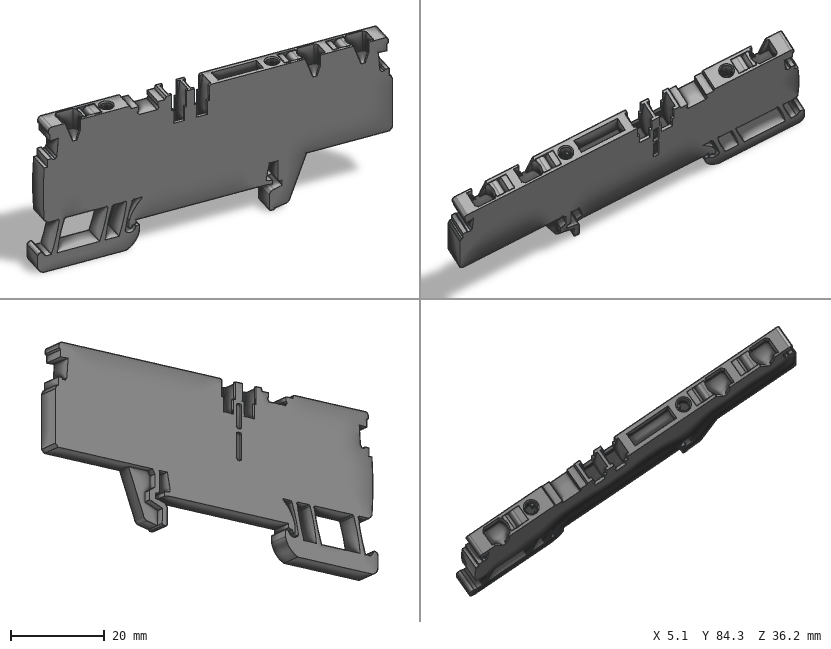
import cadquery as cq


THICKNESS = 5.1
LENGTH = 84.34
HEIGHT = 36.15

Y_MAX = LENGTH / 2
Y_MIN = -LENGTH / 2
X_MAX = THICKNESS / 2
X_MIN = -THICKNESS / 2
OVERCUT = 1.0

BODY_BOTTOM = 12.35
BODY_END = -40.6
CORNER_CHAMFER = 0.75
END_BULGE = 0.21
BULGE_MIDDLE = 17.3
SHOULDER_TOP = 26.3

END_NOTCHES = ((Y_MAX, -1, 23.0), (BODY_END, 1, SHOULDER_TOP))
END_ROUND = 1.8

FOOT_TOP = 4.03
FOOT_LIP = 5.24
RIB_WAIST = 0.2
RIB_FLARE = 0.3

SPRING_RIBS = (
    (-19.65, -21.0, -21.5, -22.8),
    (-24.4, -25.45, -26.05, -27.45),
    (-35.8, -37.0, -37.5, -38.9),
)

LATCH_BOTTOM = 0.25
WEB_RECESS = 1.8

SHAFT_FLOOR = 28.85
SHAFT_STEP = 32.2
SHAFT_STEP_WIDTH = 0.48
SOCKET_WIDTH = 3.75
SOCKET_OVERHANG = 0.6
SOCKET_FLOOR_OVERHANG = 0.1
SOCKET_DEPTH = 3.0
SHAFTS = ((-1.36, -4.88), (-6.75, -10.3))
SHAFT_CORNERS = ((-1.36, 1, 0.65), (-10.3, -1, 0.5))
SHAFT_CORNER_DROP = 0.4

GROOVE_Y = -5.87
GROOVE_WIDTH = 1.33
GROOVE_CORNER = 0.53
GROOVE_DEPTH = 0.65
GROOVE_SPANS = ((25.8, 31.45), (18.7, 25.0))

WIRE_ENTRIES = (
    (37.9, -1, 7.5, 8.2),
    (26.42, -1, 7.5, 8.2),
    (-36.08, 1, 6.8, 8.0),
)
ENTRY_WIDTH = 4.1
ENTRY_LENGTH = 5.45
ENTRY_STRAIGHT = 4.55
ENTRY_DEPTH = 5.0
ENTRY_CORNER = 0.6
OPENING_UPRIGHT = 1.4
OPENING_FLOOR_START = 0.5
OPENING_FLOOR_END = -0.4
OPENING_SLOPE_TOP = -2.2

LEVER_WIDTH = 3.7
LEVER_START = 5.2
LEVER_SHOULDER = 6.0
LEVER_END = 9.5
LEVER_TOP = HEIGHT - 0.2
LEVER_VALLEY = HEIGHT - 1.2

TEST_HOLES = ((14.8, -1), (-24.57, 1))
TEST_DIAMETER = 2.75
TEST_RIM_DIAMETER = 3.35
TEST_DEPTH = 5.0
LEDGE_OFFSET = 0.5
LEDGE_DROP = 2.5
LEDGE_SLIT = 0.9

WINDOW_WIDTH = 3.2
WINDOW_START = 1.2
WINDOW_END = 11.9
WINDOW_DEPTH = 5.0


def prism(outline, x_from=X_MIN, x_to=X_MAX):
    """Extrude a closed YZ outline between two X positions."""
    return outline.close().extrude(x_to - x_from).translate((x_from, 0, 0))


def sketch(y, z):
    return cq.Workplane("YZ").moveTo(y, z)


def polygon(points, x_from=X_MIN, x_to=X_MAX):
    return prism(cq.Workplane("YZ").polyline(points), x_from, x_to)


def block(x_size, y_from, y_to, z_from, z_to):
    """Box centred on X = 0."""
    box = cq.Workplane("XY").box(x_size, abs(y_to - y_from), z_to - z_from)
    return box.translate((0, (y_from + y_to) / 2, (z_from + z_to) / 2))


def housing():
    outline = (
        sketch(Y_MAX - CORNER_CHAMFER, BODY_BOTTOM)
        .lineTo(Y_MAX, BODY_BOTTOM + CORNER_CHAMFER)
        .lineTo(Y_MAX, HEIGHT)
        .lineTo(BODY_END, HEIGHT)
        .lineTo(BODY_END, SHOULDER_TOP)
        .threePointArc(
            (BODY_END - END_BULGE, BULGE_MIDDLE),
            (BODY_END, BODY_BOTTOM + CORNER_CHAMFER),
        )
        .lineTo(BODY_END + CORNER_CHAMFER, BODY_BOTTOM)
    )
    return prism(outline)


def end_notch(y_end, inward, shoulder_start):
    """Stepped latching notch in an end face; inward is the Y direction into the body.

    The shoulder rises to its full height from shoulder_start, a level outside the face.
    """

    def at(depth, z):
        return (y_end + inward * depth, z)

    outline = (
        sketch(*at(-OVERCUT, shoulder_start))
        .lineTo(*at(0.4, SHOULDER_TOP))
        .lineTo(*at(0.78, SHOULDER_TOP))
        .lineTo(*at(0.78, 28.15))
        .lineTo(*at(1.75, 28.25))
        .lineTo(*at(2.0, 27.85))
        .lineTo(*at(2.6, 27.85))
        .lineTo(*at(3.0, 28.4))
        .lineTo(*at(3.35, 32.85))
        .lineTo(*at(1.33, 32.75))
        .lineTo(*at(1.33, 34.35))
        .lineTo(*at(0.98, 34.75))
        .lineTo(*at(0.98, 35.3))
        .threePointArc(at(1.22, 35.9), at(END_ROUND, HEIGHT))
        .lineTo(*at(END_ROUND, HEIGHT + OVERCUT))
        .lineTo(*at(-OVERCUT, HEIGHT + OVERCUT))
    )
    return prism(outline)


def rail_skirt():
    """Lower edge resting on the rail, with a lip at each end."""
    outline = (
        sketch(12.9, BODY_BOTTOM)
        .lineTo(12.2, 8.76)
        .lineTo(12.2, 8.1)
        .lineTo(13.6, 7.75)
        .lineTo(13.6, 6.85)
        .lineTo(12.3, 7.05)
        .lineTo(-18.77, 7.05)
        .lineTo(-18.77, 6.1)
        .lineTo(-19.7, 5.85)
        .lineTo(-20.1, 5.2)
        .lineTo(-20.4, 5.3)
        .lineTo(-20.4, 7.35)
        .threePointArc((-19.54, 9.4), (-17.4, 12.1))
        .lineTo(-17.4, BODY_BOTTOM)
    )
    return prism(outline)


def latch_foot():
    """Spring latch: a full width bent strip stiffened by a thinner web."""
    strip_back = [
        (16.8, BODY_BOTTOM),
        (16.15, 11.3),
        (16.15, 8.35),
        (17.5, 7.4),
        (17.5, 5.25),
        (14.15, 3.97),
        (14.25, 0.6),
    ]
    outline = (
        cq.Workplane("YZ")
        .polyline(strip_back)
        .lineTo(13.9, LATCH_BOTTOM)
        .lineTo(13.1, LATCH_BOTTOM)
        .lineTo(12.9, LATCH_BOTTOM + 0.3)
        .lineTo(12.9, 4.3)
        .threePointArc((13.2, 4.95), (14.0, 5.4))
        .lineTo(15.95, 5.9)
        .lineTo(15.95, 7.1)
        .lineTo(15.1, 7.25)
        .lineTo(14.94, 7.5)
        .lineTo(14.94, BODY_BOTTOM)
    )
    web = (
        cq.Workplane("YZ")
        .polyline(strip_back)
        .lineTo(16.9, 1.1)
        .threePointArc((17.5, 1.5), (17.9, 2.3))
        .lineTo(21.75, BODY_BOTTOM)
    )
    return prism(outline).union(prism(web, X_MIN + WEB_RECESS))


def foot_bar():
    outline = (
        sketch(-17.93, 5.5)
        .lineTo(-17.98, 4.0)
        .threePointArc((-19.1, 1.6), (-21.2, 0))
        .lineTo(-40.7, 0)
        .threePointArc((-41.7, 0.6), (Y_MIN, 1.9))
        .lineTo(Y_MIN, 4.6)
        .threePointArc((-41.8, 5.07), (-41.1, FOOT_LIP))
        .threePointArc((-40.75, 4.6), (-40.2, FOOT_TOP))
        .lineTo(-22, FOOT_TOP)
        .lineTo(-21.4, 5.1)
        .threePointArc((-20.2, 4.25), (-18.9, 5.2))
        .lineTo(-18.8, 5.5)
    )
    return prism(outline)


def spring_rib(top_left, top_right, bottom_left, bottom_right):
    """Slanted rib between body and foot bar, waisted by two shallow arcs and flared at the top."""
    flare_level = BODY_BOTTOM - RIB_FLARE
    middle = (BODY_BOTTOM + FOOT_TOP) / 2
    waist_left = (top_left + bottom_left) / 2 - RIB_WAIST
    waist_right = (top_right + bottom_right) / 2 + RIB_WAIST
    outline = (
        sketch(top_left + RIB_FLARE, BODY_BOTTOM)
        .lineTo(top_left, flare_level)
        .threePointArc((waist_left, middle), (bottom_left, FOOT_TOP))
        .lineTo(bottom_right, FOOT_TOP)
        .threePointArc((waist_right, middle), (top_right, flare_level))
        .lineTo(top_right - RIB_FLARE, BODY_BOTTOM)
    )
    return prism(outline)


def bridge_shaft(y_first, y_second):
    """Stepped slot through the full thickness; the first edge has the larger Y."""
    step_first = y_first - SHAFT_STEP_WIDTH
    step_second = y_second + SHAFT_STEP_WIDTH
    slot = polygon(
        [
            (y_first, HEIGHT + OVERCUT),
            (y_first, SHAFT_STEP),
            (step_first, SHAFT_STEP),
            (step_first, SHAFT_FLOOR),
            (step_second, SHAFT_FLOOR),
            (step_second, SHAFT_STEP),
            (y_second, SHAFT_STEP),
            (y_second, HEIGHT + OVERCUT),
        ]
    )
    floor_first = step_first + SOCKET_FLOOR_OVERHANG
    floor_second = step_second - SOCKET_FLOOR_OVERHANG
    socket = polygon(
        [
            (y_first + SOCKET_OVERHANG, HEIGHT),
            (floor_first, SHAFT_FLOOR),
            (floor_first, SHAFT_FLOOR - SOCKET_DEPTH),
            (floor_second, SHAFT_FLOOR - SOCKET_DEPTH),
            (floor_second, SHAFT_FLOOR),
            (y_second - SOCKET_OVERHANG, HEIGHT),
        ],
        -SOCKET_WIDTH / 2,
        SOCKET_WIDTH / 2,
    )
    return slot.union(socket)


def marker_recess():
    """Shallow step with a dovetail groove for a marker strip."""
    shelf = 35.4
    bottom = 33.4
    left, right = -11.95, -19.95
    groove_left, groove_right = -13.6, -18.15
    undercut = 0.28
    return polygon(
        [
            (left + 0.3, HEIGHT),
            (left, shelf),
            (groove_left, shelf),
            (groove_left, 34.4),
            (groove_left + undercut, 34.0),
            (groove_left - 0.14, bottom),
            (groove_right + 0.14, bottom),
            (groove_right - undercut, 34.0),
            (groove_right, 34.4),
            (groove_right, shelf),
            (right, shelf),
            (right - 0.05, 35.8),
            (right - 0.3, HEIGHT),
        ]
    )


def shaft_corner(y_edge, direction, run):
    """Rounded top edge beside a shaft."""
    outline = (
        sketch(y_edge, HEIGHT)
        .lineTo(y_edge + direction * run, HEIGHT)
        .threePointArc(
            (y_edge + direction * run * 0.3, HEIGHT - SHAFT_CORNER_DROP * 0.3),
            (y_edge, HEIGHT - SHAFT_CORNER_DROP),
        )
    )
    return prism(outline)


def side_groove(z_from, z_to):
    half = GROOVE_WIDTH / 2
    slot = block(2 * GROOVE_DEPTH, GROOVE_Y - half, GROOVE_Y + half, z_from, z_to)
    return slot.edges("|X").fillet(GROOVE_CORNER).translate((X_MIN, 0, 0))


def lever_slot(y_at, inward, valley, crest):
    """Shallow slot with a cross valley; the valley flank on its +Y side is rounded."""
    flank_top = LEVER_SHOULDER if inward < 0 else crest
    flank_middle = (
        y_at(flank_top + 0.75 * (valley - flank_top)),
        LEVER_TOP - 0.35 * (LEVER_TOP - LEVER_VALLEY),
    )
    outline = (
        sketch(y_at(LEVER_START), HEIGHT)
        .lineTo(y_at(LEVER_START), LEVER_TOP)
        .lineTo(y_at(LEVER_SHOULDER), LEVER_TOP)
    )
    if inward < 0:
        outline = outline.threePointArc(flank_middle, (y_at(valley), LEVER_VALLEY))
        outline = outline.lineTo(y_at(crest), LEVER_TOP)
    else:
        outline = outline.lineTo(y_at(valley), LEVER_VALLEY)
        outline = outline.threePointArc(flank_middle, (y_at(crest), LEVER_TOP))
    outline = outline.lineTo(y_at(LEVER_END), LEVER_TOP).lineTo(y_at(LEVER_END), HEIGHT)
    return prism(outline, -LEVER_WIDTH / 2, LEVER_WIDTH / 2)


def wire_entry(y_outer, inward, valley, crest):
    """Wire pocket open to the +X side, and the lever slot beside it."""

    def y_at(distance):
        return y_outer + inward * distance

    half = ENTRY_WIDTH / 2
    floor = HEIGHT - ENTRY_DEPTH
    pocket = (
        cq.Workplane("XY", origin=(0, 0, floor))
        .moveTo(half, y_at(0))
        .lineTo(ENTRY_CORNER - half, y_at(0))
        .lineTo(-half, y_at(ENTRY_CORNER))
        .lineTo(-half, y_at(ENTRY_STRAIGHT))
        .threePointArc((0, y_at(ENTRY_LENGTH)), (half, y_at(ENTRY_STRAIGHT)))
        .close()
        .extrude(ENTRY_DEPTH)
    )
    y_middle = y_at(ENTRY_LENGTH / 2)
    side_opening = polygon(
        [
            (y_middle + OPENING_UPRIGHT, HEIGHT),
            (y_middle + OPENING_UPRIGHT, HEIGHT - ENTRY_DEPTH / 2),
            (y_middle + OPENING_FLOOR_START, floor),
            (y_middle + OPENING_FLOOR_END, floor),
            (y_middle + OPENING_SLOPE_TOP, HEIGHT),
        ],
        0,
        X_MAX,
    )
    lever = lever_slot(y_at, inward, valley, crest)
    return pocket.union(side_opening).union(lever)


def test_hole(y_center, ledge_side):
    """Chamfered probe hole with a slit ledge across one side."""
    radius = TEST_DIAMETER / 2
    rim = (TEST_RIM_DIAMETER - TEST_DIAMETER) / 2
    bore = cq.Workplane("XY").circle(radius).extrude(-TEST_DEPTH)
    countersink = (
        cq.Workplane("XY")
        .circle(TEST_RIM_DIAMETER / 2)
        .workplane(offset=-rim)
        .circle(radius)
        .loft()
    )
    ledge = block(TEST_DIAMETER, LEDGE_OFFSET, radius + rim, -TEST_DEPTH, -LEDGE_DROP)
    slit = block(LEDGE_SLIT, 0, radius, -TEST_DEPTH, -LEDGE_DROP)
    hole = bore.cut(ledge.cut(slit)).union(countersink)
    if ledge_side < 0:
        hole = hole.rotate((0, 0, 0), (0, 0, 1), 180)
    return hole.translate((0, y_center, HEIGHT))


def marker_window():
    return block(WINDOW_WIDTH, WINDOW_START, WINDOW_END, HEIGHT - WINDOW_DEPTH, HEIGHT)


part = housing()
for y_end, inward, shoulder_start in END_NOTCHES:
    part = part.cut(end_notch(y_end, inward, shoulder_start))

part = part.union(rail_skirt()).union(latch_foot()).union(foot_bar())
for rib_corners in SPRING_RIBS:
    part = part.union(spring_rib(*rib_corners))

for y_edge, direction, run in SHAFT_CORNERS:
    part = part.cut(shaft_corner(y_edge, direction, run))
for y_first, y_second in SHAFTS:
    part = part.cut(bridge_shaft(y_first, y_second))
part = part.cut(marker_recess())
part = part.cut(marker_window())

for z_from, z_to in GROOVE_SPANS:
    part = part.cut(side_groove(z_from, z_to))
for y_outer, inward, valley, crest in WIRE_ENTRIES:
    part = part.cut(wire_entry(y_outer, inward, valley, crest))
for y_center, ledge_side in TEST_HOLES:
    part = part.cut(test_hole(y_center, ledge_side))

result = part